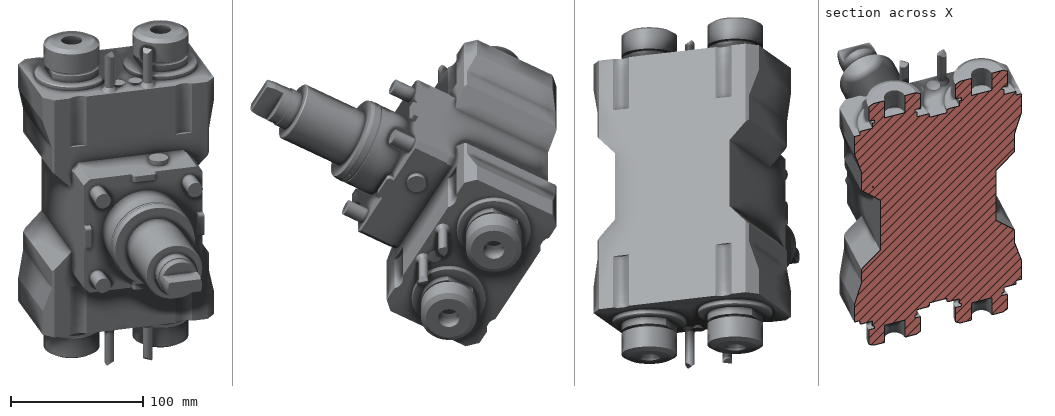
import cadquery as cq


BLOCK_X = 80.0
BLOCK_Y = 135.0
BLOCK_Z = 196.3
CHAMFER_BACK = 7.7
CHAMFER_FRONT = 7.2
STEP_HALF_Y = 61.8
WAIST_HALF_Y = 47.0
END_TAPER_Z = 78.5
STEP_Z = 57.7
WAIST_HALF_Z = 26.3
SHAFT_Z = -2.5

SLOT_Y = 41.7
SLOT_RADIUS = 9.5
SLOT_DEPTH = 2.5
SLOT_END_Z = STEP_Z

PLUG_X = 40.5
PLUG_Y = 35.0
FLANGE_RADIUS = 28.0
FLANGE_HEIGHT = 3.9
FLANGE_CHAMFER = 0.8
NUT_RADIUS = 21.0
NUT_FLATS = 36.3
NUT_HEIGHT = 5.5
NECK_RADIUS = 16.5
NECK_HEIGHT = 2.3
CAP_RADIUS = 21.0
CAP_HEIGHT = 18.0
CAP_CHAMFER_RADIAL = 3.9
CAP_CHAMFER_HEIGHT = 2.3
PLUG_HOLE_RADIUS = 8.0

PIN_X = 73.5
PIN_Y = 15.2
PIN_RADIUS = 3.5
PIN_TIP_Z = 128.8
PIN_ROOF_DROP = 2.8
PIN_FOOT_RADIUS = 6.0
FOOT_HEIGHT = 3.0
SCREW_X = 68.5
SCREW_Y = 6.7
SCREW_TOP_RADIUS = 5.2
SCREW_BASE_RADIUS = 2.3

BODY_END_X = 112.5
BODY_HALF = WAIST_HALF_Y
BODY_CHAMFER = 4.6
ROOT_LENGTH = 4.6
ROOT_CHAMFER = 5.5
KEY_WIDTH = 18.0
KEY_LENGTH = 5.0
KEY_HEIGHT = 4.6
KEY_FILLET = 2.3
BOLT_Y = 36.3
BOLT_Z = 35.0
BOLT_RADIUS = 6.0
BOLT_END_X = 128.8
BUTTON_X = 97.0
BUTTON_Y = 16.7
BUTTON_RADIUS = 7.2
BUTTON_HEIGHT = 4.0

COLLAR_RADIUS = 32.2
COLLAR_END_X = 144.5
GROOVE_START_X = 135.2
GROOVE_END_X = 136.8
GROOVE_DEPTH = 1.0
RING_END_X = 138.5
RING_RADIUS = 32.5
COLLAR_TAPER_X = 141.7
COLLAR_TAPER_DEPTH = 0.8
SPINDLE_RADIUS = 22.5
SPINDLE_END_X = 195.0
SPINDLE_CHAMFER = 0.8
STUB_RADIUS = 15.2
STUB_END_X = 203.5
TANG_RADIUS = 14.5
TANG_TAPER_X = 218.2
TANG_END_RADIUS = 13.5
TANG_SHOULDER_X = 210.5
TANG_THICKNESS = 10.0
SHAFT_END_X = 224.0
DIMPLE_X = 199.5
DIMPLE_RADIUS = 1.3
DIMPLE_DEPTH = 2.5


def both_ends(shape):
    """Add the mirror image across the block's middle height."""
    return shape.union(shape.mirror("XY"))


def both_sides(shape):
    """Add the mirror image across the Y = 0 plane."""
    return shape.union(shape.mirror("XZ"))


def make_block():
    half_y = BLOCK_Y / 2
    half_z = BLOCK_Z / 2
    waist_top = SHAFT_Z + WAIST_HALF_Z
    waist_bottom = SHAFT_Z - WAIST_HALF_Z
    slope = STEP_HALF_Y - WAIST_HALF_Y
    side = [
        (half_y, half_z),
        (half_y, END_TAPER_Z),
        (STEP_HALF_Y, STEP_Z),
        (STEP_HALF_Y, waist_top + slope),
        (WAIST_HALF_Y, waist_top),
        (WAIST_HALF_Y, waist_bottom),
        (STEP_HALF_Y, waist_bottom - slope),
        (STEP_HALF_Y, -STEP_Z),
        (half_y, -END_TAPER_Z),
        (half_y, -half_z),
    ]
    other_side = [(-y, z) for y, z in reversed(side)]
    profile = cq.Workplane("YZ").polyline(side + other_side).close().extrude(BLOCK_X)
    plan = (
        cq.Workplane("XY", origin=(BLOCK_X / 2, 0, 0))
        .box(BLOCK_X, BLOCK_Y, BLOCK_Z)
        .edges("|Z and <X").chamfer(CHAMFER_BACK)
        .edges("|Z and >X").chamfer(CHAMFER_FRONT)
    )
    return profile.intersect(plan)


def make_slots():
    offset = SLOT_RADIUS - SLOT_DEPTH
    centers = [(x, y) for x in (-offset, BLOCK_X + offset) for y in (-SLOT_Y, SLOT_Y)]
    upper = (
        cq.Workplane("XY", origin=(0, 0, SLOT_END_Z))
        .pushPoints(centers)
        .circle(SLOT_RADIUS)
        .extrude(BLOCK_Z / 2 - SLOT_END_Z)
    )
    return both_ends(upper)


def make_plug():
    """One plug standing on the block's top face at +Y."""
    flange = (
        cq.Workplane("XY", origin=(PLUG_X, PLUG_Y, BLOCK_Z / 2))
        .circle(FLANGE_RADIUS).extrude(FLANGE_HEIGHT)
        .faces(">Z").chamfer(FLANGE_CHAMFER)
    )
    nut = flange.faces(">Z").workplane().circle(NUT_RADIUS).extrude(NUT_HEIGHT, combine=False)
    flats = cq.Workplane(origin=nut.val().Center()).box(2 * NUT_RADIUS, NUT_FLATS, NUT_HEIGHT)
    neck = flange.union(nut.intersect(flats)).faces(">Z").workplane().circle(NECK_RADIUS).extrude(NECK_HEIGHT)
    cap = (
        neck.faces(">Z").workplane(offset=CAP_HEIGHT / 2)
        .cylinder(CAP_HEIGHT, CAP_RADIUS, combine=False)
        .faces(">Z").chamfer(CAP_CHAMFER_HEIGHT, CAP_CHAMFER_RADIAL)
        .faces(">Z").workplane().circle(PLUG_HOLE_RADIUS).cutBlind(-CAP_HEIGHT)
    )
    return neck.union(cap)


def make_cone(x, y, base_radius, top_radius):
    """A low cone frustum standing on the block's top face."""
    return (
        cq.Workplane("XY", origin=(x, y, BLOCK_Z / 2))
        .circle(base_radius)
        .workplane(offset=FOOT_HEIGHT)
        .circle(top_radius)
        .loft()
    )


def make_pin():
    """Pin at +Y with a roof-shaped tip whose ridge runs diagonally."""
    foot_z = BLOCK_Z / 2
    rod = (
        cq.Workplane("XY", origin=(PIN_X, PIN_Y, foot_z))
        .circle(PIN_RADIUS).extrude(PIN_TIP_Z - foot_z)
    )
    roof_plane = cq.Plane(origin=(PIN_X, PIN_Y, foot_z), xDir=(1, -1, 0), normal=(1, 1, 0))
    peak = PIN_TIP_Z - foot_z
    eave = peak - PIN_ROOF_DROP
    roof = (
        cq.Workplane(roof_plane)
        .polyline([
            (-PIN_RADIUS, 0),
            (PIN_RADIUS, 0),
            (PIN_RADIUS, -eave),
            (0, -peak),
            (-PIN_RADIUS, -eave),
        ])
        .close()
        .extrude(PIN_RADIUS, both=True)
    )
    foot = make_cone(PIN_X, PIN_Y, PIN_FOOT_RADIUS, PIN_RADIUS)
    return rod.intersect(roof).union(foot)


def make_body():
    def bar(start_x, length, chamfer):
        return (
            cq.Workplane("YZ", origin=(start_x, 0, SHAFT_Z))
            .rect(2 * BODY_HALF, 2 * BODY_HALF).extrude(length)
            .edges("|X").chamfer(chamfer)
        )

    root_end = BLOCK_X + ROOT_LENGTH
    root = bar(BLOCK_X / 2, root_end - BLOCK_X / 2, ROOT_CHAMFER)
    return root.union(bar(root_end, BODY_END_X - root_end, BODY_CHAMFER))


def make_keys():
    """Four keys on the body's end face, one in the middle of each side."""
    key = (
        cq.Workplane("YZ", origin=(BODY_END_X, 0, SHAFT_Z))
        .center(0, BODY_HALF - KEY_HEIGHT / 2)
        .rect(KEY_WIDTH, KEY_HEIGHT).extrude(KEY_LENGTH)
        .edges("|Z and >X").fillet(KEY_FILLET)
    )
    axis_start = (0, 0, SHAFT_Z)
    axis_end = (1, 0, SHAFT_Z)
    keys = key
    for angle in (90, 180, 270):
        keys = keys.union(key.rotate(axis_start, axis_end, angle))
    return keys


def make_bolts():
    return (
        cq.Workplane("YZ", origin=(BODY_END_X, 0, SHAFT_Z))
        .rect(2 * BOLT_Y, 2 * BOLT_Z, forConstruction=True).vertices()
        .circle(BOLT_RADIUS).extrude(BOLT_END_X - BODY_END_X)
    )


def make_buttons():
    """A single cylinder through the body leaves a button above and below it."""
    return (
        cq.Workplane("XY", origin=(BUTTON_X, BUTTON_Y, SHAFT_Z))
        .circle(BUTTON_RADIUS).extrude(BODY_HALF + BUTTON_HEIGHT, both=True)
    )


def make_shaft():
    groove_radius = COLLAR_RADIUS - GROOVE_DEPTH
    outline = [
        (BODY_END_X, 0),
        (BODY_END_X, COLLAR_RADIUS),
        (GROOVE_START_X, COLLAR_RADIUS),
        (GROOVE_START_X, groove_radius),
        (GROOVE_END_X, groove_radius),
        (GROOVE_END_X, RING_RADIUS),
        (RING_END_X, RING_RADIUS),
        (RING_END_X, COLLAR_RADIUS),
        (COLLAR_TAPER_X, COLLAR_RADIUS),
        (COLLAR_END_X, COLLAR_RADIUS - COLLAR_TAPER_DEPTH),
        (COLLAR_END_X, SPINDLE_RADIUS),
        (SPINDLE_END_X - SPINDLE_CHAMFER, SPINDLE_RADIUS),
        (SPINDLE_END_X, SPINDLE_RADIUS - SPINDLE_CHAMFER),
        (SPINDLE_END_X, STUB_RADIUS),
        (STUB_END_X, STUB_RADIUS),
        (STUB_END_X, TANG_RADIUS),
        (TANG_TAPER_X, TANG_RADIUS),
        (SHAFT_END_X, TANG_END_RADIUS),
        (SHAFT_END_X, 0),
    ]
    shaft = (
        cq.Workplane("XZ", origin=(0, 0, SHAFT_Z))
        .polyline(outline).close()
        .revolve(360, (0, 0, 0), (1, 0, 0))
    )
    flat_depth = TANG_RADIUS - TANG_THICKNESS / 2
    flat_z = (TANG_THICKNESS + flat_depth) / 2
    tang_length = SHAFT_END_X - TANG_SHOULDER_X
    for side in (-1, 1):
        flat = cq.Workplane("XY").box(tang_length, 2 * TANG_RADIUS, flat_depth)
        center_x = TANG_SHOULDER_X + tang_length / 2
        shaft = shaft.cut(flat.translate((center_x, 0, SHAFT_Z + side * flat_z)))
    dimple = (
        cq.Workplane("XZ", origin=(DIMPLE_X, -STUB_RADIUS, SHAFT_Z))
        .circle(DIMPLE_RADIUS).extrude(-DIMPLE_DEPTH)
    )
    return shaft.cut(dimple)


block = make_block().cut(make_slots())
screw = make_cone(SCREW_X, SCREW_Y, SCREW_BASE_RADIUS, SCREW_TOP_RADIUS)
end_parts = [both_ends(both_sides(part)) for part in (make_plug(), make_pin(), screw)]

result = block.union(make_body())
for part in end_parts + [make_keys(), make_bolts(), make_buttons(), make_shaft()]:
    result = result.union(part)